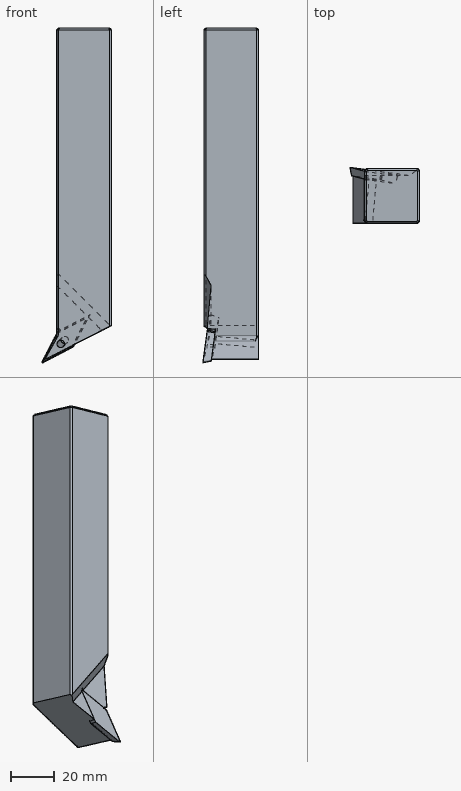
import cadquery as cq
import math

shank_width = 25.0
total_length = 152.4
shank_left = 6.7
shank_right = shank_left + shank_width
shank_chamfer = 0.9

nose_x = 1.4
nose_z = 1.5
shank_right_bottom = 16.9
flank_angle = 61.0
bend_radius = 5.0

insert_tip_y = 25.5
insert_angle = 35.0
insert_side = 16.6
insert_thickness = 3.7
insert_clearance = 7.0
insert_nose_radius = 0.3
seat_slope = 0.09

chip_wall_distance = 29.9
relief_radius = 1.4
screw_hole_diameter = 3.4
cut_margin = 15.2

half_angle = math.radians(insert_angle / 2)
corner_setback = insert_nose_radius * (1 / math.sin(half_angle) - math.sqrt(2))
half_long = insert_side * math.cos(half_angle)
half_short = insert_side * math.sin(half_angle)
insert_center = half_long - corner_setback

insert_plane = cq.Plane(
    origin=(0, insert_tip_y, 0),
    xDir=(1, -2 * seat_slope, 1),
    normal=(seat_slope, 1, seat_slope),
)


def rhombus():
    return cq.Workplane(insert_plane).polyline([
        (-corner_setback, 0),
        (insert_center, half_short),
        (insert_center + half_long, 0),
        (insert_center, -half_short),
    ]).close()


def insert_blank():
    return rhombus().extrude(-insert_thickness, taper=insert_clearance)


def make_insert():
    nose_edge = cq.selectors.NearestToPointSelector((0, insert_tip_y - insert_thickness / 2, 0))
    return insert_blank().edges(nose_edge).fillet(insert_nose_radius)


def prism_along_y(points):
    """Extrude an XZ outline through the full depth of the shank."""
    return cq.Workplane("XZ").polyline(points).close().extrude(-shank_width)


def make_shank_and_nose():
    bar = (
        cq.Workplane("XY")
        .box(shank_width, shank_width, total_length, centered=False)
        .translate((shank_left, 0, 0))
        .edges("|Z").chamfer(shank_chamfer)
        .faces(">Z").edges().chamfer(shank_chamfer)
    )

    underside_slope = (shank_right_bottom - nose_z) / (shank_right - nose_x)
    end_x = shank_right + cut_margin
    end_z = nose_z + underside_slope * (end_x - nose_x)
    below = prism_along_y([(nose_x, nose_z), (end_x, end_z), (end_x, -cut_margin), (nose_x, -cut_margin)])

    flank_end_x = shank_left + shank_chamfer
    flank_slope = math.tan(math.radians(flank_angle))
    flank_end_z = nose_z + flank_slope * (flank_end_x - nose_x)
    underside_end_z = nose_z + underside_slope * (flank_end_x - nose_x)
    nose = prism_along_y([(nose_x, nose_z), (flank_end_x, underside_end_z), (flank_end_x, flank_end_z)])

    bend_z = nose_z + flank_slope * (shank_left - nose_x)
    bend = cq.selectors.NearestToPointSelector((shank_left, shank_width / 2, bend_z))
    return bar.cut(below).union(nose).edges(bend).fillet(bend_radius)


def chip_pocket():
    """Floor level with the insert's top face, ending at a 45 degree wall across the shank."""
    profile_plane = cq.Plane(insert_plane.origin, insert_plane.xDir, insert_plane.yDir)
    return cq.Workplane(profile_plane).polyline([
        (-cut_margin, 0),
        (chip_wall_distance, 0),
        (chip_wall_distance + cut_margin, -cut_margin),
        (-cut_margin, -cut_margin),
    ]).close().extrude(2 * shank_width, both=True)


def insert_seat():
    """Room for the insert, open above it, with round reliefs at its two side corners."""
    reliefs = (
        cq.Workplane(insert_plane)
        .pushPoints([(insert_center, half_short), (insert_center, -half_short)])
        .circle(relief_radius)
        .extrude(-insert_thickness)
    )
    return insert_blank().union(rhombus().extrude(cut_margin)).union(reliefs)


def screw_hole():
    """Hole square to the seat, from under the insert out through the front of the holder."""
    return (
        cq.Workplane(insert_plane)
        .center(insert_center, 0)
        .circle(screw_hole_diameter / 2)
        .extrude(-(shank_width + cut_margin))
    )


insert = make_insert()
holder = make_shank_and_nose().cut(chip_pocket()).cut(insert_seat()).cut(screw_hole())

result = cq.Compound.makeCompound([*holder.solids().vals(), *insert.solids().vals()])